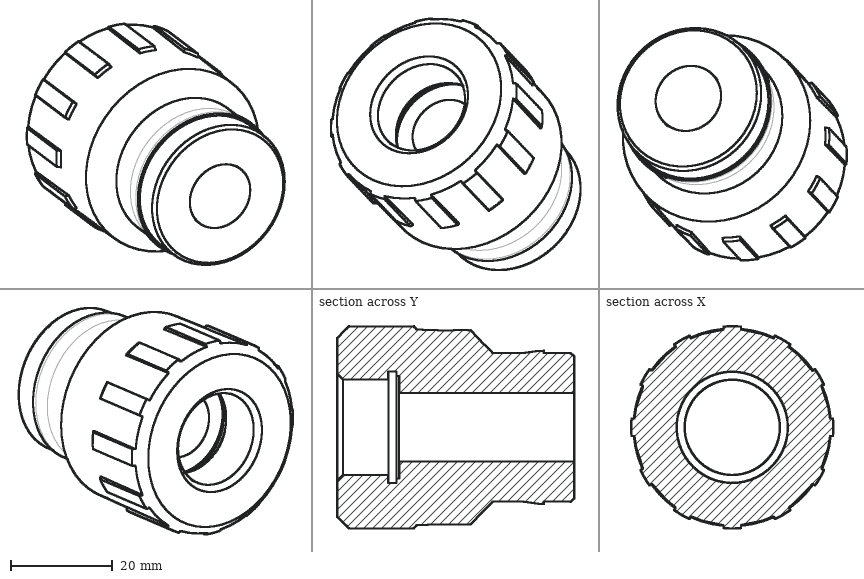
import cadquery as cq

total_length = 46.5
body_end = 26.2
shoulder_end = 30.5
ramp_start = 36.5
ring_start = 39.65
ring_end = 40.55

face_radius = 17.6
lug_radius = 19.85
body_front_radius = 19.4
body_rear_radius = 19.1
neck_radius = 29.3 / 2
ring_radius = 30.2 / 2
neck_chamfer = 0.7

front_chamfer = body_front_radius - face_radius

lug_count = 12
lug_width = 3.5
lug_flat_end = 15.0
lug_end_run = 0.7
lug_end = lug_flat_end + lug_end_run
lug_flat_start = lug_radius - face_radius
lug_root_radius = lug_radius - lug_end_run

mouth_radius = 20.92 / 2
mouth_depth = 1.15
socket_radius = 18.65 / 2
groove_start = 10.05
groove_end = 11.62
groove_radius = 10.9
seat_radius = 20.0 / 2
seat_depth = 12.15
bore_radius = 13.35 / 2


def turned(profile):
    """Revolve a closed (x, radius) profile about the X axis."""
    return cq.Workplane("XY").polyline(profile).close().revolve(360, (0, 0, 0), (1, 0, 0))


def outer_body():
    return turned([
        (0, 0),
        (0, face_radius),
        (front_chamfer, body_front_radius),
        (body_end, body_rear_radius),
        (shoulder_end, neck_radius),
        (ramp_start, neck_radius),
        (ring_start, ring_radius),
        (ring_end, ring_radius),
        (ring_end, neck_radius),
        (total_length - neck_chamfer, neck_radius),
        (total_length, neck_radius - neck_chamfer),
        (total_length, 0),
    ])


def grip_lugs():
    """Parallel-sided bars trimmed to a turned envelope with chamfered ends."""
    envelope = turned([
        (0, 0),
        (0, face_radius),
        (lug_flat_start, lug_radius),
        (lug_flat_end, lug_radius),
        (lug_end, lug_root_radius),
        (lug_end, 0),
    ])
    bars = cq.Workplane("XY")
    for index in range(lug_count // 2):
        bar = cq.Workplane("XY").box(lug_end, lug_width, 3 * lug_radius, centered=(False, True, True))
        bars = bars.add(bar.rotate((0, 0, 0), (1, 0, 0), index * 360 / lug_count))
    return envelope.intersect(bars.combine())


def inner_cavity():
    return turned([
        (0, 0),
        (0, mouth_radius),
        (mouth_depth, socket_radius),
        (groove_start, socket_radius),
        (groove_start, groove_radius),
        (groove_end, groove_radius),
        (groove_end, seat_radius),
        (seat_depth, seat_radius),
        (seat_depth, bore_radius),
        (total_length, bore_radius),
        (total_length, 0),
    ])


result = outer_body().union(grip_lugs()).cut(inner_cavity())